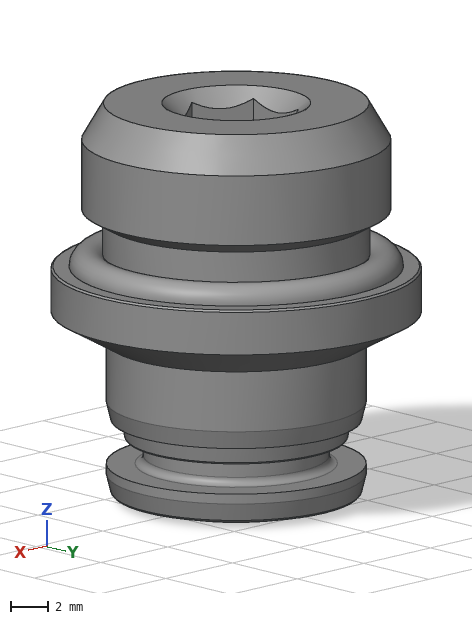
import cadquery as cq
import math

height = 22.0
flange_radius = 19.95 / 2
flange_bottom = 10.5
flange_top = 12.95
flange_edge_break = 0.1

head_radius = 16.65 / 2
head_top_radius = 7.15
head_bottom = 16.15
head_chamfer_bottom = 20.0
groove_radius = 14.4 / 2
groove_top = 15.5

ring_outer_radius = 9.0
ring_section_radius = 1.03
ring_center_radius = ring_outer_radius - ring_section_radius
ring_center_z = flange_top

shank_radius = 14.0 / 2
shank_top = 8.82
shank_taper_top = 5.5
shank_bottom = 4.5
shank_bottom_radius = 6.75
step_top_radius = 6.15
step_bottom_radius = 6.0
step_bottom = 3.45
step_edge_break = 0.09

neck_radius = 10.0 / 2
neck_fillet = 0.45
foot_top = 2.05
foot_taper_top = 1.5
foot_bottom_radius = 6.75
foot_bottom = 0.42
foot_edge_break = 0.1
nose_top_radius = 5.68
nose_bottom_radius = 5.05

socket_flats = 5.95
socket_corner_radius = socket_flats / math.sqrt(3)
countersink_radius = 8.0 / 2
countersink_depth = countersink_radius


def turned_body():
    """Revolve the half profile, drawn from the nose up to the head."""
    fillet_middle_radius = neck_radius + neck_fillet * (1 - math.sqrt(0.5))
    fillet_middle_z = foot_top + neck_fillet * (1 - math.sqrt(0.5))
    profile = (
        cq.Workplane("XZ")
        .lineTo(nose_bottom_radius, 0)
        .lineTo(nose_top_radius, foot_bottom)
        .lineTo(foot_bottom_radius - foot_edge_break, foot_bottom)
        .lineTo(foot_bottom_radius, foot_bottom + foot_edge_break)
        .lineTo(shank_radius, foot_taper_top)
        .lineTo(shank_radius, foot_top)
        .lineTo(neck_radius + neck_fillet, foot_top)
        .threePointArc((fillet_middle_radius, fillet_middle_z), (neck_radius, foot_top + neck_fillet))
        .lineTo(neck_radius, step_bottom)
        .lineTo(step_bottom_radius - step_edge_break, step_bottom)
        .lineTo(step_bottom_radius, step_bottom + step_edge_break)
        .lineTo(step_top_radius, shank_bottom)
        .lineTo(shank_bottom_radius, shank_bottom)
        .lineTo(shank_radius, shank_taper_top)
        .lineTo(shank_radius, shank_top)
        .lineTo(flange_radius, flange_bottom)
        .lineTo(flange_radius, flange_top - flange_edge_break)
        .lineTo(flange_radius - flange_edge_break, flange_top)
        .lineTo(groove_radius, flange_top)
        .lineTo(groove_radius, groove_top)
        .lineTo(head_radius, head_bottom)
        .lineTo(head_radius, head_chamfer_bottom)
        .lineTo(head_top_radius, height)
        .lineTo(0, height)
        .close()
    )
    return profile.revolve(360, (0, 0, 0), (0, 1, 0))


def seal_ring():
    """Solid ring of round section; the lower half is sunk in the flange."""
    section = cq.Workplane("XZ").center(ring_center_radius, ring_center_z).circle(ring_section_radius)
    return section.revolve(360, (-ring_center_radius, 0, 0), (-ring_center_radius, 1, 0))


def hex_socket():
    """Through hexagon with corners on the Y axis, plus its conical lead-in."""
    corners = [
        (
            socket_corner_radius * math.cos(math.radians(90 + 60 * i)),
            socket_corner_radius * math.sin(math.radians(90 + 60 * i)),
        )
        for i in range(6)
    ]
    hexagon = cq.Workplane("XY").polyline(corners).close().extrude(height)
    cone = cq.Workplane(
        cq.Solid.makeCone(
            countersink_radius, 0, countersink_depth, cq.Vector(0, 0, height), cq.Vector(0, 0, -1)
        )
    )
    return hexagon.union(cone)


result = turned_body().union(seal_ring()).cut(hex_socket())